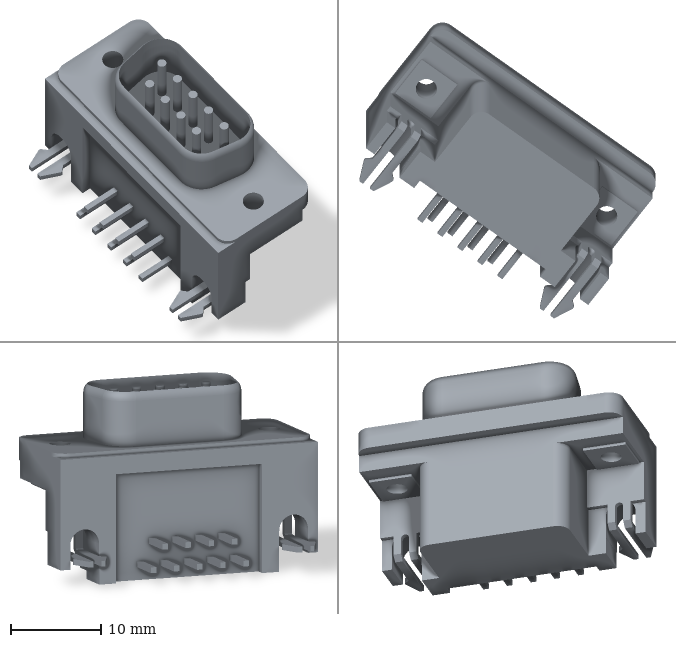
import cadquery as cq
import math


flange_top = 14.8
flange_bottom = 12.32
housing_top = 14.35
shell_top = 20.88
pin_top = 20.33
roof_bottom = 10.32
ear_step_height = 5.67
ear_bottom = 1.9

width = 30.8
flange_front = 1.02
flange_back = 13.58
flange_radius = 1.63
center_y = (flange_front + flange_back) / 2
hole_spacing = 25.0
hole_diameter = 2.35

housing_depth = 11.95
ear_depth = 4.5
ear_lower_depth = 3.85
front_block_width = 21.5
recess_width = 17.45
recess_depth = 1.08
recess_top = 12.32
rear_radius = 1.48
arch_width = 3.45
arch_top = 6.35
nut_side = 4.93
nut_drop = 0.3

shell_depth = 9.25
shell_mid_width = 17.28
shell_slant = math.radians(10)
shell_radius = 3.05
shell_wall = 0.43
rim_radius = 1.25
rim_height = math.sqrt(rim_radius**2 - (rim_radius - shell_wall)**2)

pitch = 2.77
pin_rows = ((5, 1.42), (4, -1.42))
pin_diameter = 1.02
lead_rows = ((5, 1.82), (4, 4.37))
lead_size = 0.65
lead_length = 3.17
lead_root = 0.3

clip_width = 2.7
clip_gap = 0.95
clip_gap_top = 5.7
clip_bottom = 2.75
clip_thickness = ear_depth - ear_lower_depth
clip_bend = 0.12
clip_root = 0.62
barb_half_width = 1.97
barb_start = 0.85
barb_flat_start = 1.42
barb_flat_end = 1.63
clip_length = 3.8
clip_tip_half_width = 1.0


def block(size_x, y_range, z_range, x_center=0.0):
    """Box given by its X size and its Y and Z limits."""
    y_min, y_max = y_range
    z_min, z_max = z_range
    box = cq.Workplane("XY").box(size_x, y_max - y_min, z_max - z_min, centered=(True, False, False))
    return box.translate((x_center, y_min, z_min))


def arched_slot(slot_width, top, x_center):
    """Round-topped slot, open at the underside and running through the ears in Y."""
    radius = slot_width / 2
    spring = top - radius
    return (
        cq.Workplane("XZ", origin=(x_center, ear_depth, 0))
        .moveTo(-radius, 0)
        .lineTo(-radius, spring)
        .threePointArc((0, top), (radius, spring))
        .lineTo(radius, 0)
        .close()
        .extrude(ear_depth)
    )


def make_flange():
    plate = block(width, (flange_front, flange_back), (flange_bottom, flange_top))
    return plate.edges("|Z").fillet(flange_radius)


def make_housing():
    roof = block(width, (0, housing_depth), (roof_bottom, housing_top))
    ears = block(width, (0, ear_depth), (ear_step_height, roof_bottom))
    lower_ears = block(width, (0, ear_lower_depth), (ear_bottom, ear_step_height))
    front_block = block(front_block_width, (0, ear_lower_depth), (0, ear_step_height))
    rear_block = block(recess_width, (recess_depth, housing_depth), (0, roof_bottom))
    rear_block = rear_block.edges("|Z and >Y").fillet(rear_radius)
    recess = block(recess_width, (0, recess_depth), (0, recess_top))
    return roof.union(ears).union(lower_ears).union(front_block).union(rear_block).cut(recess)


def make_nut(x_center):
    """Square nut showing below the housing roof, under a flange hole."""
    nut_y = (center_y - nut_side / 2, center_y + nut_side / 2)
    return block(nut_side, nut_y, (roof_bottom - nut_drop, roof_bottom), x_center)


def shell_outline():
    taper = shell_depth * math.tan(shell_slant)
    back = (shell_mid_width + taper) / 2
    front = (shell_mid_width - taper) / 2
    half_depth = shell_depth / 2
    corners = [(-front, -half_depth), (front, -half_depth), (back, half_depth), (-back, half_depth)]
    return cq.Workplane("XY", origin=(0, center_y, flange_top)).polyline(corners).close()


def make_shell():
    height = shell_top - flange_top
    full_height = height - rim_height + rim_radius
    outside = shell_outline().extrude(full_height).edges("|Z").fillet(shell_radius)
    outside = outside.faces(">Z").edges().fillet(rim_radius)
    inside = (
        shell_outline()
        .offset2D(-shell_wall)
        .extrude(full_height)
        .edges("|Z")
        .fillet(shell_radius - shell_wall)
    )
    return outside.cut(inside)


def row_positions(count):
    return [(i - (count - 1) / 2) * pitch for i in range(count)]


def make_pins():
    points = [(x, center_y + offset) for count, offset in pin_rows for x in row_positions(count)]
    return (
        cq.Workplane("XY", origin=(0, 0, housing_top))
        .pushPoints(points)
        .circle(pin_diameter / 2)
        .extrude(pin_top - housing_top)
    )


def make_leads():
    points = [(x, z) for count, z in lead_rows for x in row_positions(count)]
    return (
        cq.Workplane("XZ", origin=(0, recess_depth + lead_root, 0))
        .pushPoints(points)
        .rect(lead_size, lead_size)
        .extrude(recess_depth + lead_root + lead_length)
    )


def make_clip(x_center):
    """Bent clip: a plate behind the arch, folded forward into two barbed prongs."""
    clip_side = [
        (ear_lower_depth, arch_top + clip_root),
        (ear_depth, arch_top + clip_root),
        (ear_depth, clip_bottom + clip_thickness),
        (ear_depth - clip_thickness, clip_bottom),
        (-clip_length, clip_bottom),
        (-clip_length, clip_bottom + clip_thickness),
        (ear_lower_depth - clip_bend, clip_bottom + clip_thickness),
        (ear_lower_depth, clip_bottom + clip_thickness + clip_bend),
    ]
    bent_strip = (
        cq.Workplane("YZ", origin=(x_center, 0, 0))
        .polyline(clip_side)
        .close()
        .extrude(barb_half_width, both=True)
    )
    right_edge = [
        (clip_width / 2, ear_depth),
        (clip_width / 2, -barb_start),
        (barb_half_width, -barb_flat_start),
        (barb_half_width, -barb_flat_end),
        (clip_tip_half_width, -clip_length),
    ]
    left_edge = [(-x, y) for x, y in reversed(right_edge)]
    plan = (
        cq.Workplane("XY", origin=(x_center, 0, 0))
        .polyline(right_edge + left_edge)
        .close()
        .extrude(shell_top)
    )
    gap_between_prongs = block(clip_gap, (-clip_length, 0), (0, ear_step_height), x_center)
    gap = arched_slot(clip_gap, clip_gap_top, x_center).union(gap_between_prongs)
    return bent_strip.intersect(plan).cut(gap)


result = make_housing().union(make_flange())
for hole_x in (-hole_spacing / 2, hole_spacing / 2):
    result = result.cut(arched_slot(arch_width, arch_top, hole_x))
    result = result.union(make_nut(hole_x)).union(make_clip(hole_x))
    hole = cq.Workplane("XY").center(hole_x, center_y).circle(hole_diameter / 2).extrude(flange_top)
    result = result.cut(hole)
result = result.union(make_shell()).union(make_pins()).union(make_leads())